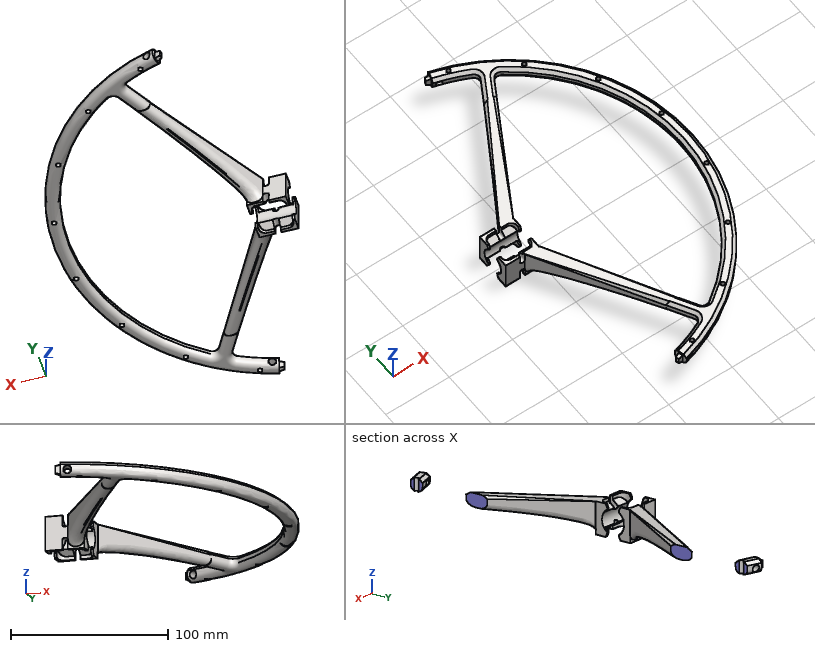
import cadquery as cq
import math

half_extent_y = 139.54
ring_end_angle = 75.0
ring_overrun = 5.0
ring_outer_radius = half_extent_y / math.sin(math.radians(ring_end_angle))
ring_width = 9.5
ring_height = 9.0
ring_inner_radius = ring_outer_radius - ring_width
ring_mid_radius = ring_outer_radius - ring_width / 2
top_chamfer_drop = 2.5
top_chamfer_inset = 2.2
bottom_rounding = 4.0

lacing_hole_diameter = 3.0
lacing_hole_angles = (10.0, 30.0, 50.0, 70.0)

tongue_length = 3.4
tongue_root_width = 3.2
tongue_root_top = -1.5
tongue_root_bottom = -8.0
tongue_tip_width = 2.6
tongue_tip_top = -2.3
tongue_tip_bottom = -6.8
cross_hole_diameter = 5.0
cross_hole_angle = 73.2
cross_hole_z = -5.3

arm_angle = 60.0
arm_width = 8.6
arm_junction_radius = 4.5
arm_root_span = 11.2
arm_root_shift = -0.6
arm_root_depth = 21.2
arm_root_chamfer = 0.2
arm_root_rounding = 5.0
arm_blend_end_y = 98.0
arm_blend_sections = 10
arm_section_crowding = 1.3

overall_length = 157.8
clip_length = 26.0
clip_center_x = ring_outer_radius - overall_length + clip_length / 2
clip_height = 22.53
clip_half_width = 14.0
clip_mid_z = -clip_height / 2
clip_bore_radius = 8.9
clip_mouth_half_gap = 4.6
clip_flare_half_gap = 6.2
clip_lip_bulge = 0.3
clip_slot_width = 3.9
clip_slot_x = 0.3
clip_web_height = 7.5
clip_slot_corner_radius = 1.5
relief_length = 23.0
relief_near_y = 7.2
relief_far_y = 11.8
relief_wall_height = 2.4
relief_corner_radius = 4.4


def polar(radius, angle):
    """Point in plan at a radius and an angle in degrees from +X."""
    return radius * math.cos(math.radians(angle)), radius * math.sin(math.radians(angle))


def mirror_y(half):
    """Join a +Y feature with its mirror image on the -Y side."""
    return half.union(half.mirror("XZ"))


def make_ring_with_arm_stubs():
    """Ring and outer arm stretches, sharing one chamfered top and rounded bottom."""
    overrun_angle = ring_end_angle + ring_overrun
    frame_body = (
        cq.Workplane("XY")
        .moveTo(*polar(ring_outer_radius, -overrun_angle))
        .threePointArc((ring_outer_radius, 0), polar(ring_outer_radius, overrun_angle))
        .lineTo(*polar(ring_inner_radius, overrun_angle))
        .threePointArc((ring_inner_radius, 0), polar(ring_inner_radius, -overrun_angle))
        .close()
        .extrude(-ring_height)
    )
    stub_start = arm_blend_end_y / math.sin(math.radians(arm_angle)) - arm_width
    stub_length = ring_mid_radius - stub_start
    for side in (1, -1):
        stub = (
            cq.Workplane("XY")
            .center(stub_start + stub_length / 2, 0)
            .rect(stub_length, arm_width)
            .extrude(-ring_height)
            .rotate((0, 0, 0), (0, 0, 1), side * arm_angle)
        )
        frame_body = frame_body.union(stub)

    def junction_box(side):
        center_x, center_y = polar(ring_inner_radius, side * arm_angle)
        low = (center_x - arm_width, center_y - arm_width, -2 * ring_height)
        high = (center_x + arm_width, center_y + arm_width, ring_height)
        return cq.selectors.BoxSelector(low, high)

    for side in (1, -1):
        frame_body = frame_body.edges("|Z").edges(junction_box(side)).fillet(arm_junction_radius)

    body = frame_body.faces(">Z").chamfer(top_chamfer_drop, top_chamfer_inset)
    body = body.faces("<Z").edges().fillet(bottom_rounding)
    return trim_ring(body)


def trim_ring(body):
    """Cut the ring ends square to the ring, and the arm stubs at the blend plane."""
    reach = 2 * ring_outer_radius
    wedge = (
        cq.Workplane("XY")
        .polyline([
            (0, 0),
            polar(reach, ring_end_angle),
            (reach, 0),
            polar(reach, -ring_end_angle),
        ])
        .close()
        .extrude(-ring_height)
    )
    arm_start_x = arm_blend_end_y / math.tan(math.radians(arm_angle))
    inner_zone = (
        cq.Workplane("XY")
        .center(arm_start_x, 0)
        .rect(2 * arm_width, 2 * arm_blend_end_y)
        .extrude(-ring_height)
    )
    return body.intersect(wedge).cut(inner_zone)


def arm_depth(y):
    """Arm depth follows a quarter ellipse from the clip wall out to the ring."""
    ring_y = ring_inner_radius * math.sin(math.radians(arm_angle))
    ratio = (ring_y - y) / (ring_y - clip_half_width)
    return ring_height + (arm_root_depth - ring_height) * (1 - math.sqrt(max(0, 1 - ratio ** 2)))


def arm_section(y):
    """Cross section of the +Y arm on a plane of constant Y."""
    blend = (y - clip_half_width) / (arm_blend_end_y - clip_half_width)

    def mix(root, end):
        return root + (end - root) * blend

    skew = 1 / math.sin(math.radians(arm_angle))
    half_span = mix(arm_root_span, arm_width * skew) / 2
    chamfer_inset = mix(arm_root_chamfer, top_chamfer_inset * skew)
    chamfer_drop = mix(arm_root_chamfer, top_chamfer_drop)
    rounding_inset = mix(arm_root_rounding, bottom_rounding * skew)
    rounding_height = mix(arm_root_rounding, bottom_rounding)
    depth = arm_depth(y)
    flat_half = half_span - chamfer_inset
    bottom_half = half_span - rounding_inset
    diagonal = math.sqrt(0.5)
    arc_half = bottom_half + rounding_inset * diagonal
    arc_z = -depth + rounding_height * (1 - diagonal)
    center_x = y / math.tan(math.radians(arm_angle)) + mix(arm_root_shift, 0)
    plane = cq.Plane(origin=(center_x, y, 0), xDir=(1, 0, 0), normal=(0, -1, 0))
    return (
        cq.Workplane(plane)
        .moveTo(-flat_half, 0)
        .lineTo(flat_half, 0)
        .lineTo(half_span, -chamfer_drop)
        .lineTo(half_span, rounding_height - depth)
        .threePointArc((arc_half, arc_z), (bottom_half, -depth))
        .lineTo(-bottom_half, -depth)
        .threePointArc((-arc_half, arc_z), (-half_span, rounding_height - depth))
        .lineTo(-half_span, -chamfer_drop)
        .close()
        .wires()
        .val()
    )


def make_arm():
    """+Y arm lofted from the clip wall out to the constant section."""
    run = arm_blend_end_y - clip_half_width
    sections = []
    for index in range(arm_blend_sections):
        fraction = (index / (arm_blend_sections - 1)) ** arm_section_crowding
        sections.append(arm_section(clip_half_width + run * fraction))
    return cq.Workplane(obj=cq.Solid.makeLoft(sections))


def make_clip():
    """Both jaws: flared mouth, cylindrical bore, relieved lips and weakening slots."""
    block = (
        cq.Workplane("XY")
        .box(clip_length, 2 * clip_half_width, clip_height)
        .translate((0, 0, clip_mid_z))
    )
    bore = (
        cq.Workplane("YZ", origin=(0, 0, clip_mid_z))
        .circle(clip_bore_radius)
        .extrude(clip_length / 2, both=True)
    )
    lip_tip_z = math.sqrt(clip_bore_radius ** 2 - clip_mouth_half_gap ** 2)
    lip_run = clip_flare_half_gap - clip_mouth_half_gap
    lip_rise = clip_height / 2 - lip_tip_z
    lip_chord = math.hypot(lip_run, lip_rise)
    lip_arc_y = (clip_mouth_half_gap + clip_flare_half_gap) / 2 - clip_lip_bulge * lip_rise / lip_chord
    lip_arc_z = (lip_tip_z + clip_height / 2) / 2 + clip_lip_bulge * lip_run / lip_chord
    mouth = (
        cq.Workplane("YZ", origin=(0, 0, clip_mid_z))
        .moveTo(clip_flare_half_gap, clip_height / 2)
        .threePointArc((lip_arc_y, lip_arc_z), (clip_mouth_half_gap, lip_tip_z))
        .lineTo(clip_mouth_half_gap, -lip_tip_z)
        .threePointArc((lip_arc_y, -lip_arc_z), (clip_flare_half_gap, -clip_height / 2))
        .lineTo(-clip_flare_half_gap, -clip_height / 2)
        .threePointArc((-lip_arc_y, -lip_arc_z), (-clip_mouth_half_gap, -lip_tip_z))
        .lineTo(-clip_mouth_half_gap, lip_tip_z)
        .threePointArc((-lip_arc_y, lip_arc_z), (-clip_flare_half_gap, clip_height / 2))
        .close()
        .extrude(clip_length / 2, both=True)
    )
    clip = block.cut(bore).cut(mouth)

    relief_z = math.sqrt(clip_bore_radius ** 2 - relief_near_y ** 2)
    wall_z = clip_height / 2 - relief_wall_height
    slope = (
        cq.Workplane("YZ", origin=(0, 0, clip_mid_z))
        .polyline([
            (relief_far_y, clip_height / 2),
            (relief_far_y, wall_z),
            (relief_near_y, relief_z),
            (relief_near_y, -relief_z),
            (relief_far_y, -wall_z),
            (relief_far_y, -clip_height / 2),
            (-relief_far_y, -clip_height / 2),
            (-relief_far_y, -wall_z),
            (-relief_near_y, -relief_z),
            (-relief_near_y, relief_z),
            (-relief_far_y, wall_z),
            (-relief_far_y, clip_height / 2),
        ])
        .close()
        .extrude(relief_length / 2, both=True)
    )
    outline = (
        cq.Workplane("XY")
        .rect(relief_length, 2 * relief_far_y)
        .extrude(-clip_height)
        .edges("|Z")
        .fillet(relief_corner_radius)
    )
    clip = clip.cut(slope.intersect(outline))

    slot_depth = (clip_height - clip_web_height) / 2
    for end_z, floor_edges in ((0, "<Z"), (-clip_height, ">Z")):
        direction = 1 if end_z == 0 else -1
        slot = (
            cq.Workplane("XY")
            .box(clip_slot_width, 2 * clip_half_width, slot_depth)
            .translate((0, 0, end_z - direction * slot_depth / 2))
            .faces(floor_edges)
            .edges("|Y")
            .fillet(clip_slot_corner_radius)
        )
        clip = clip.cut(slot.translate((clip_slot_x, 0, 0)))
    return clip.translate((clip_center_x, 0, 0))


def make_tongue():
    """Tapered tongue on the +Y ring end, pointing along the ring."""
    center = polar(ring_mid_radius, ring_end_angle)
    plane = cq.Plane(
        origin=(*center, 0),
        xDir=(*polar(-1, ring_end_angle), 0),
        normal=(*polar(1, ring_end_angle + 90), 0),
    )
    root_z = (tongue_root_top + tongue_root_bottom) / 2
    tip_z = (tongue_tip_top + tongue_tip_bottom) / 2
    return (
        cq.Workplane(plane)
        .center(0, root_z)
        .rect(tongue_root_width, tongue_root_top - tongue_root_bottom)
        .workplane(offset=tongue_length)
        .center(0, tip_z - root_z)
        .rect(tongue_tip_width, tongue_tip_top - tongue_tip_bottom)
        .loft()
    )


def make_ring_holes():
    """Lacing holes and cross hole of the +Y half of the ring."""
    centers = [polar(ring_mid_radius, angle) for angle in lacing_hole_angles]
    lacing = (
        cq.Workplane("XY")
        .pushPoints(centers)
        .circle(lacing_hole_diameter / 2)
        .extrude(-ring_height)
    )
    cross = (
        cq.Workplane("YZ", origin=(ring_mid_radius, 0, cross_hole_z))
        .circle(cross_hole_diameter / 2)
        .extrude(ring_width, both=True)
        .rotate((0, 0, 0), (0, 0, 1), cross_hole_angle)
    )
    return lacing.union(cross)


frame = make_ring_with_arm_stubs().union(mirror_y(make_arm())).union(make_clip())
frame = frame.union(mirror_y(make_tongue()))
result = frame.cut(mirror_y(make_ring_holes()))